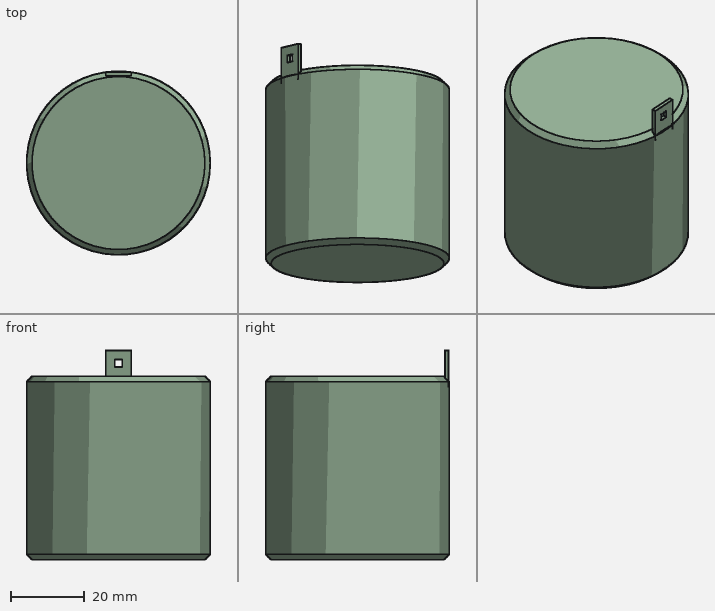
import cadquery as cq

body_diameter = 50.0
body_height = 50.0
edge_chamfer = 1.5

overall_height = 57.0
tab_width = 7.0
tab_thickness = 1.0
tab_inset = 0.2
tab_embed = 2.85
hole_side = 2.0

body_radius = body_diameter / 2
tab_height = overall_height - body_height
tab_center_y = body_radius - tab_inset - tab_thickness / 2
hole_center_z = body_height + tab_height / 2


def make_body():
    cylinder = cq.Workplane("XY").circle(body_radius).extrude(body_height)
    return cylinder.faces("<Z or >Z").edges().chamfer(edge_chamfer)


def make_tab():
    tab = (
        cq.Workplane("XY", origin=(0, tab_center_y, body_height - tab_embed))
        .rect(tab_width, tab_thickness)
        .extrude(tab_height + tab_embed)
    )
    hole = cq.Workplane("XY", origin=(0, tab_center_y, hole_center_z)).box(
        hole_side, 2 * tab_thickness, hole_side
    )
    return tab.cut(hole)


result = make_body().union(make_tab())